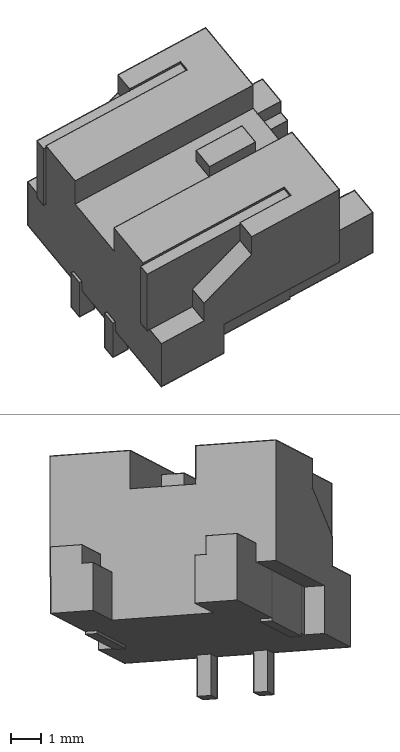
import cadquery as cq


housing_width = 8.0
housing_length = 7.1
housing_height = 5.7

channel_width = 2.32
channel_floor = 4.4
block_width = 0.8
block_front = 4.32
block_back = 6.15
block_top = 5.0

side_depth = 0.7
inner_half_width = housing_width / 2 - side_depth
cutout_floor = 2.42
cutout_low_back = 1.7
cutout_slope_bottom = 3.4
cutout_slope_top = 4.7
cutout_high_back = 3.6
notch_front = 2.5
notch_height = 1.62

rail_length = 1.8
rail_width = 1.5
rail_bar_width = 1.1
rail_height = 2.25
rail_ledge_height = notch_height

plate_thickness = 0.4
plate_back = 5.63
plate_recess = 0.1
plate_top = housing_height - plate_recess
tab_front = 2.8
tab_back = 5.6
tab_drop = 0.1

pin_pitch = 2.0
pin_width = 0.5
pin_thickness = 0.6
pin_top = 0.52
pin_bottom = -1.4

front_overhang = 0.1


def box(x_range, y_range, z_range):
    """Box spanning the given (low, high) limits along each axis."""
    sizes = [high - low for low, high in (x_range, y_range, z_range)]
    corner = (x_range[0], y_range[0], z_range[0])
    return cq.Workplane("XY").box(*sizes, centered=False).translate(corner)


def both_sides(shape):
    """The shape together with its mirror image across the YZ plane."""
    return shape.union(shape.mirror("YZ"))


def make_housing():
    half_width = housing_width / 2
    half_channel = channel_width / 2
    half_block = block_width / 2
    body = box((-half_width, half_width), (0, housing_length), (0, housing_height))
    channel = box((-half_channel, half_channel), (0, housing_length), (channel_floor, housing_height))
    block = box((-half_block, half_block), (block_front, block_back), (channel_floor, block_top))
    return body.cut(channel).union(block)


def make_side_cutout():
    """Stepped opening with a sloped back edge, cut in from the +X face."""
    outline = [
        (0, cutout_floor),
        (cutout_low_back, cutout_floor),
        (cutout_low_back, cutout_slope_bottom),
        (cutout_high_back, cutout_slope_top),
        (cutout_high_back, housing_height),
        (0, housing_height),
    ]
    profile = cq.Workplane("YZ", origin=(inner_half_width, 0, 0)).polyline(outline).close()
    return profile.extrude(side_depth)


def make_base_notch():
    return box(
        (inner_half_width, housing_width / 2),
        (notch_front, housing_length),
        (0, notch_height),
    )


def make_rail():
    y_range = (housing_length, housing_length + rail_length)
    bar = box((inner_half_width - rail_bar_width, inner_half_width), y_range, (0, rail_height))
    ledge = box((inner_half_width - rail_width, inner_half_width), y_range, (0, rail_ledge_height))
    return bar.union(ledge)


def make_plate_recess():
    """Shallow slot in the top face above a plate."""
    return box(
        (inner_half_width - plate_thickness, inner_half_width),
        (0, plate_back),
        (plate_top, housing_height),
    )


def make_plate():
    """Upright plate with a tab reaching just below the housing base."""
    x_range = (inner_half_width - plate_thickness, inner_half_width)
    blade = box(x_range, (-front_overhang, plate_back), (cutout_floor, plate_top))
    tab = box(x_range, (tab_front, tab_back), (-tab_drop, cutout_floor))
    return blade.union(tab)


def make_pin():
    pin_center = pin_pitch / 2
    return box(
        (pin_center - pin_width / 2, pin_center + pin_width / 2),
        (-front_overhang, pin_thickness - front_overhang),
        (pin_bottom, pin_top),
    )


result = make_housing()
for make_cut in (make_side_cutout, make_base_notch, make_plate_recess):
    result = result.cut(both_sides(make_cut()))
for make_addition in (make_rail, make_pin):
    result = result.union(both_sides(make_addition()))
plates = both_sides(make_plate())
result = result.cut(plates).union(plates, clean=False)